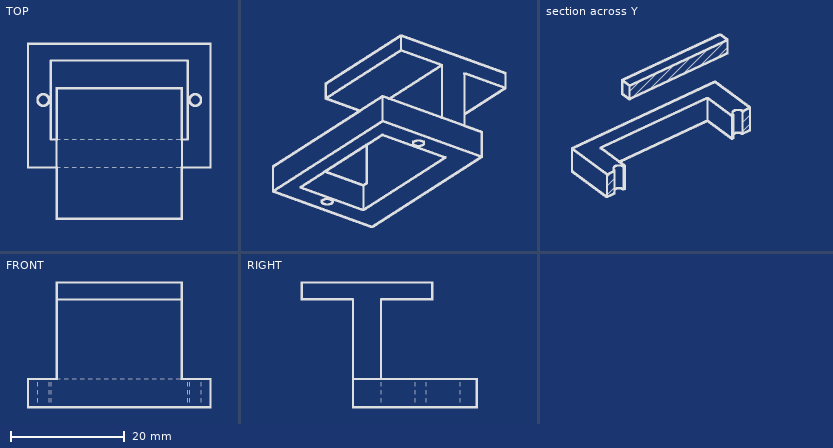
import cadquery as cq

base_width = 32.2
base_depth = 21.83
base_height = 5.0
rear_rim = 3.0
window_width = 24.05

wall_thickness = 5.0
total_height = 22.0

platform_width = 22.1
platform_depth = 23.02
platform_thickness = 3.0

hole_diameter = 2.0
hole_spacing = 26.75

window_depth = base_depth - wall_thickness - rear_rim
hole_from_front = wall_thickness + window_depth / 2
platform_bottom = total_height - platform_thickness
platform_front = (wall_thickness - platform_depth) / 2


def block(width, depth, height, front, bottom):
    """Box centred on X, placed by its front face and bottom face."""
    return (
        cq.Workplane("XY")
        .box(width, depth, height, centered=(True, False, False))
        .translate((0, front, bottom))
    )


base = block(base_width, base_depth, base_height, 0, 0)
window = block(window_width, window_depth, base_height, wall_thickness, 0)
holes = (
    cq.Workplane("XY")
    .pushPoints([(side * hole_spacing / 2, hole_from_front) for side in (-1, 1)])
    .circle(hole_diameter / 2)
    .extrude(base_height)
)
frame = base.cut(window).cut(holes)

wall = block(platform_width, wall_thickness, total_height, 0, 0)
platform = block(platform_width, platform_depth, platform_thickness, platform_front, platform_bottom)

result = frame.union(wall).union(platform).clean()